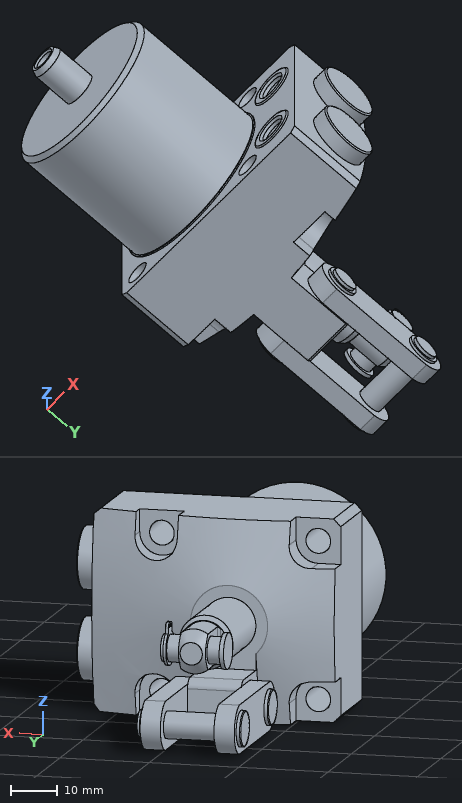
import cadquery as cq
import math


flange_height = 45.0
flange_width = 55.0
flange_bottom = -flange_height / 2
flange_left = flange_bottom
flange_right = flange_left + flange_width
left_corner_chamfer = 1.6
right_corner_chamfer = 1.3
crown_y = 27.8
crown_radius = 8.6
crown_slope = math.radians(15.5)

bolt_offset = 17.5
bolt_hole_diameter = 5.5
bolt_seat_radius = 5.0
bolt_seat_y = 18.2

barrel_diameter = 39.0
barrel_length = 33.5
barrel_chamfer = 1.1
barrel_collar_diameter = 39.7
barrel_collar_length = 0.3

port_x = 25.2
port_z = 11.0
port_seal_diameter = 10.5
port_seal_height = 0.3
port_mouth_diameter = 7.1
port_bore_diameter = 6.0
port_depth = 1.1

plug_diameter = 14.0
plug_length = 3.9
plug_y = 12.6
plug_z = 10.0
plug_chamfer = 0.3

rod_diameter = 12.0
rod_shoulder_y = 48.9
rod_shoulder_bevel_length = 1.4
rod_shoulder_bevel_depth = 0.9
tip_diameter = 9.9
tip_thickness = 6.0
tip_flat_fillet = 0.5
tip_end_y = 60.3
tip_chamfer_length = 2.7
tip_chamfer_depth = 2.5
tail_diameter = 8.0
tail_end_y = -44.3
tail_chamfer_length = 1.4
tail_chamfer_depth = 0.6
tail_hole_diameter = 4.5
tail_hole_mouth_diameter = 5.4
tail_hole_depth = 3.2

pin_diameter = 6.0
pin_head_diameter = 8.0
pin_head_thickness = 1.0
link_pin_head_chamfer = 0.2
pin_tail_length = 1.4
ring_diameter = 7.6
ring_thickness = 0.6
ring_ear_reach = 5.7
ring_ear_width = 3.2
ring_ear_corner_radius = 1.0
ring_ear_hole_diameter = 0.6
ring_ear_hole_spacing = 1.5
ring_ear_hole_z = 5.0
rod_pin_y = 55.3

link_gap = rod_diameter
link_thickness = 4.5
link_height = 10.9
link_end_radius = 5.6
link_z = -16.4
link_end_y = 63.7
front_pin_y = link_end_y - link_end_radius
lug_pin_y = 34.2
link_grip = link_gap + 2 * link_thickness

lug_end_y = 40.4
lug_top_z = -9.8
lug_root_y = 19.4
lug_top_radius = 2.2
lug_bottom_chamfer = 0.6


def y_cylinder(diameter, y_start, y_end, x=0, z=0):
    """Cylinder along Y between two heights."""
    return cq.Workplane("XZ", origin=(x, y_start, z)).circle(diameter / 2).extrude(y_start - y_end)


def x_cylinder(diameter, x_start, x_end, y, z):
    """Cylinder along X between two positions."""
    return cq.Workplane("YZ", origin=(x_start, y, z)).circle(diameter / 2).extrude(x_end - x_start)


def turned(profile):
    """Solid of revolution about the Y axis from (radius, y) points."""
    return cq.Workplane("XY").polyline(profile).close().revolve(360, (0, 0), (0, 1))



def flange_block():
    """Rectangular block with chamfered long edges, its upper side trimmed to a shallow cone."""
    block = cq.Workplane("XY").box(flange_width, crown_y, flange_height, centered=(False, False, True))
    block = block.translate((flange_left, 0, 0))
    block = block.edges("|Y and <X").chamfer(left_corner_chamfer)
    block = block.edges("|Y and >X").chamfer(right_corner_chamfer, left_corner_chamfer)

    outer_radius = flange_width
    drop = (outer_radius - crown_radius) * math.tan(crown_slope)
    crown = turned([
        (0, 0),
        (outer_radius, 0),
        (outer_radius, crown_y - drop),
        (crown_radius, crown_y),
        (0, crown_y),
    ])
    return block.intersect(crown)


def bolt_seat(side_x, side_z):
    """Recess around one bolt, open to the Z side, and on the left also open to the X side."""
    x = side_x * bolt_offset
    z = side_z * bolt_offset
    seat = y_cylinder(2 * bolt_seat_radius, bolt_seat_y, crown_y, x, z)
    depth = crown_y - bolt_seat_y
    open_length = 2 * bolt_seat_radius

    def opening(shift_x, shift_z):
        return (
            cq.Workplane("XY")
            .box(open_length, depth, open_length)
            .translate((x + shift_x, bolt_seat_y + depth / 2, z + side_z * shift_z))
        )

    seat = seat.union(opening(0, open_length / 2))
    if side_x < 0:
        seat = seat.union(opening(-open_length / 2, 0))
        seat = seat.union(opening(-open_length / 2, open_length / 2))
    return seat


def barrel():
    """Cylinder barrel with a thin collar against the flange."""
    body = y_cylinder(barrel_diameter, -barrel_length, 0).faces("<Y").chamfer(barrel_chamfer)
    return body.union(y_cylinder(barrel_collar_diameter, -barrel_collar_length, 0))


def lug():
    """Upright tongue that fills the gap between the links, with a level foot up to the rod."""

    def upright_block(end_y, top_z):
        return (
            cq.Workplane("XY")
            .box(link_gap, end_y - lug_root_y, top_z - flange_bottom, centered=(True, False, False))
            .translate((0, lug_root_y, flange_bottom))
        )

    body = upright_block(lug_end_y, lug_top_z)
    body = body.edges(">Y and >Z").fillet(lug_top_radius)
    body = body.edges(">Y and <Z").chamfer(lug_bottom_chamfer)
    return body.union(upright_block(crown_y, 0))


def port_seal(z):
    """Raised disc with a sloping rim; the port hole makes it a ring."""
    outer_radius = port_seal_diameter / 2
    return turned([
        (0, 0),
        (outer_radius, 0),
        (outer_radius - port_seal_height, -port_seal_height),
        (0, -port_seal_height),
    ]).translate((port_x, 0, z))


def port_hole(z):
    """Countersunk blind hole through the seal."""
    mouth_radius = port_mouth_diameter / 2
    bore_radius = port_bore_diameter / 2
    return turned([
        (0, -port_seal_height),
        (mouth_radius, -port_seal_height),
        (bore_radius, mouth_radius - bore_radius - port_seal_height),
        (bore_radius, port_depth),
        (0, port_depth),
    ]).translate((port_x, 0, z))


def plug(z):
    """Round port plug on the right side."""
    body = x_cylinder(plug_diameter, flange_right, flange_right + plug_length, plug_y, z)
    return body.faces(">X").chamfer(plug_chamfer)


def make_housing():
    """Flange, barrel, lug and plugs, bored for the stepped rod and the lug pin."""
    housing = flange_block()
    for side_x in (-1, 1):
        for side_z in (-1, 1):
            housing = housing.cut(bolt_seat(side_x, side_z))
            bolt_hole = y_cylinder(bolt_hole_diameter, 0, crown_y, side_x * bolt_offset, side_z * bolt_offset)
            housing = housing.cut(bolt_hole)
    housing = housing.union(barrel()).union(lug())
    for side in (-1, 1):
        housing = housing.union(plug(side * plug_z)).union(port_seal(side * port_z))
        housing = housing.cut(port_hole(side * port_z))
    housing = housing.cut(y_cylinder(rod_diameter, 0, crown_y))
    housing = housing.cut(y_cylinder(tail_diameter, -barrel_length, 0))
    return housing.cut(x_cylinder(pin_diameter, -link_gap / 2, link_gap / 2, lug_pin_y, link_z))



def make_rod():
    """Turned rod with a flattened tip; it steps down to its tail at the seating face."""
    rod_radius = rod_diameter / 2
    tip_radius = tip_diameter / 2
    tail_radius = tail_diameter / 2
    rod = turned([
        (0, tail_end_y),
        (tail_radius - tail_chamfer_depth, tail_end_y),
        (tail_radius, tail_end_y + tail_chamfer_length),
        (tail_radius, 0),
        (rod_radius, 0),
        (rod_radius, rod_shoulder_y - rod_shoulder_bevel_length),
        (rod_radius - rod_shoulder_bevel_depth, rod_shoulder_y),
        (tip_radius, rod_shoulder_y),
        (tip_radius, tip_end_y - tip_chamfer_length),
        (tip_radius - tip_chamfer_depth, tip_end_y),
        (0, tip_end_y),
    ])
    tip_length = tip_end_y - rod_shoulder_y
    for side in (-1, 1):
        waste = cq.Workplane("XY").box(tip_diameter, tip_length, tip_diameter)
        inner_edge = "|Z and <Y and <X" if side > 0 else "|Z and <Y and >X"
        waste = waste.edges(inner_edge).fillet(tip_flat_fillet)
        shift = side * (tip_thickness + tip_diameter) / 2
        rod = rod.cut(waste.translate((shift, rod_shoulder_y + tip_length / 2, 0)))
    rod = rod.cut(x_cylinder(pin_diameter, -tip_thickness, tip_thickness, rod_pin_y, 0))
    hole_radius = tail_hole_diameter / 2
    mouth_radius = tail_hole_mouth_diameter / 2
    return rod.cut(turned([
        (0, tail_end_y),
        (mouth_radius, tail_end_y),
        (hole_radius, tail_end_y + mouth_radius - hole_radius),
        (hole_radius, tail_end_y + tail_hole_depth),
        (0, tail_end_y + tail_hole_depth),
    ]))



def headed_pin(grip, y, z):
    """Pin along X with a head left of the gripped width and a retaining ring right of it."""
    left = -grip / 2
    right = grip / 2
    shank = x_cylinder(pin_diameter, left, right + pin_tail_length, y, z)
    head = x_cylinder(pin_head_diameter, left - pin_head_thickness, left, y, z)
    ring = x_cylinder(ring_diameter, right, right + ring_thickness, y, z)
    return shank.union(head).union(ring)


def make_rod_pin():
    """Pin through the rod tip, whose retaining ring has an upright ear with two plier holes."""
    ear = (
        cq.Workplane("XY")
        .box(ring_thickness, ring_ear_width, ring_ear_reach, centered=(False, True, False))
        .translate((link_gap / 2, rod_pin_y, 0))
        .edges("|X and >Z")
        .fillet(ring_ear_corner_radius)
    )
    for side in (-1, 1):
        hole_y = rod_pin_y + side * ring_ear_hole_spacing / 2
        hole = x_cylinder(ring_ear_hole_diameter, 0, link_gap, hole_y, ring_ear_hole_z)
        ear = ear.cut(hole)
    return headed_pin(link_gap, rod_pin_y, 0).union(ear)


def link_plate(side):
    """Plate with round ends, on the left (-1) or right (1) of the lug."""
    half_height = link_height / 2
    corner_shift = math.sqrt(link_end_radius**2 - half_height**2)
    front_y = front_pin_y + corner_shift
    back_y = lug_pin_y - corner_shift
    return (
        cq.Workplane("YZ", origin=(side * link_gap / 2, 0, link_z))
        .moveTo(back_y, -half_height)
        .lineTo(front_y, -half_height)
        .threePointArc((link_end_y, 0), (front_y, half_height))
        .lineTo(back_y, half_height)
        .threePointArc((lug_pin_y - link_end_radius, 0), (back_y, -half_height))
        .close()
        .extrude(side * link_thickness)
    )


def make_pinned_link():
    """Left link, with the two pins that carry the right link."""
    link = link_plate(-1)
    for y in (front_pin_y, lug_pin_y):
        pin = headed_pin(link_grip, y, link_z).faces("<X").chamfer(link_pin_head_chamfer)
        link = link.union(pin)
    return link


def make_outer_link():
    """Right link, with a hole for each pin."""
    link = link_plate(1)
    for y in (front_pin_y, lug_pin_y):
        link = link.cut(x_cylinder(pin_diameter, 0, link_grip, y, link_z))
    return link


housing = make_housing()
rod = make_rod()
rod_pin = make_rod_pin()
pinned_link = make_pinned_link()
outer_link = make_outer_link()

result = cq.Compound.makeCompound([
    housing.val(),
    rod.val(),
    rod_pin.val(),
    pinned_link.val(),
    outer_link.val(),
])